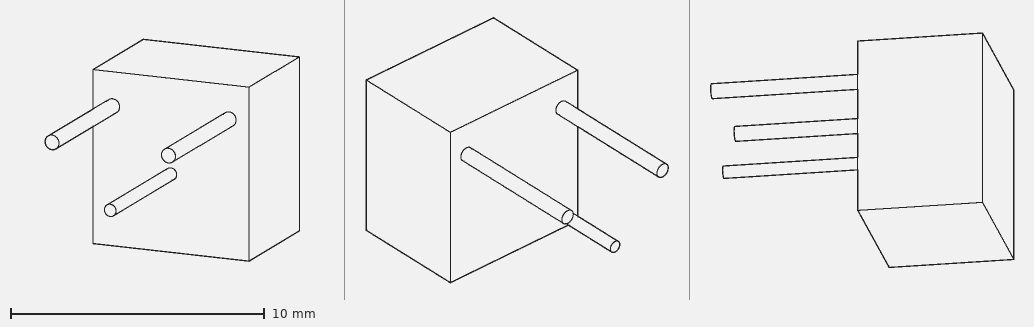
import cadquery as cq

body_width = 6.7
body_depth = 5.0
body_height = 7.1

pin_length = 6.0
outer_pin_diameter = 0.6
center_pin_diameter = 0.5

pin_pitch = 2.5
outer_pin_drop = 1.4
outer_pin_z = body_height / 2 - outer_pin_drop
center_pin_z = outer_pin_z - pin_pitch


def make_body():
    return cq.Workplane("XY").box(
        body_width, body_depth, body_height, centered=(True, False, True)
    )


def make_pin(x, z, diameter):
    return cq.Workplane("XZ").center(x, z).circle(diameter / 2).extrude(pin_length)


result = make_body()
for outer_pin_x in (-pin_pitch, pin_pitch):
    result = result.union(make_pin(outer_pin_x, outer_pin_z, outer_pin_diameter))
result = result.union(make_pin(0, center_pin_z, center_pin_diameter))